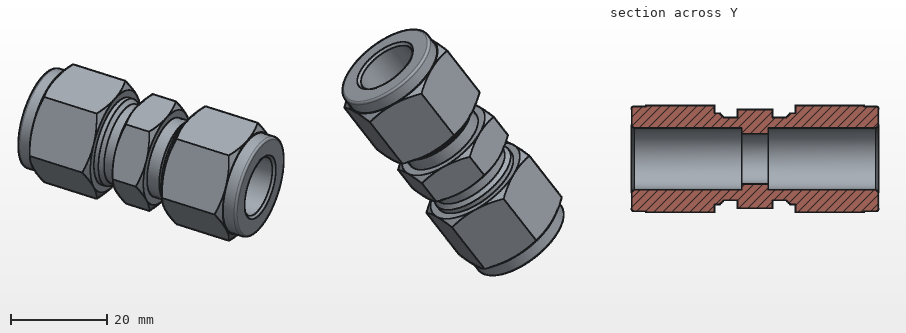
import cadquery as cq
import math

total_length = 51.41
half_length = total_length / 2

nut_across_flats = 22.22
nut_length = 14.3
nut_collar_length = 3.0
nut_collar_diameter = 21.83
nut_collar_edge_radius = 0.5

body_across_flats = 20.64
body_hex_length = 7.28
neck_diameter = 17.3
shoulder_diameter = 19.05
shoulder_length = 1.05
shoulder_taper_length = (shoulder_diameter - neck_diameter) / 2

bore_diameter = 10.4
socket_diameter = 12.8
socket_depth = 22.9
socket_mouth_diameter = 13.9
socket_mouth_chamfer = (socket_mouth_diameter - socket_diameter) / 2

hex_chamfer_angle = math.radians(30)

nut_outer_x = half_length - nut_collar_length
nut_inner_x = nut_outer_x - nut_length


def revolve_about_x(points):
    """Revolve a closed (x, radius) outline about the X axis."""
    return cq.Workplane("XY").polyline(points).close().revolve(360, (0, 0, 0), (1, 0, 0))


def cylinder(x_start, x_end, diameter):
    """Round bar along X."""
    return cq.Workplane("YZ", origin=(x_start, 0, 0)).circle(diameter / 2).extrude(x_end - x_start)


def chamfered_hexagon(x_start, x_end, across_flats):
    """Hexagonal bar along X, corners on +/-Y, with its corners turned off at both ends."""
    flat_radius = across_flats / 2
    corner_radius = flat_radius / math.cos(math.pi / 6)
    chamfer_length = (corner_radius - flat_radius) * math.tan(hex_chamfer_angle)
    hexagon = (
        cq.Workplane("YZ", origin=(x_start, 0, 0))
        .polygon(6, 2 * corner_radius)
        .extrude(x_end - x_start)
    )
    turned_envelope = revolve_about_x([
        (x_start, 0),
        (x_start, flat_radius),
        (x_start + chamfer_length, corner_radius),
        (x_end - chamfer_length, corner_radius),
        (x_end, flat_radius),
        (x_end, 0),
    ])
    return hexagon.intersect(turned_envelope)


def nut():
    """Nut on the +X end: hexagon plus a round collar with a rounded outer edge."""
    collar = cylinder(nut_inner_x, half_length, nut_collar_diameter)
    collar = collar.faces(">X").edges().fillet(nut_collar_edge_radius)
    return chamfered_hexagon(nut_inner_x, nut_outer_x, nut_across_flats).union(collar)


def shoulder():
    """Raised ring against the inner face of the +X nut, tapering down to the neck."""
    taper_end_x = nut_inner_x - shoulder_length
    taper_start_x = taper_end_x - shoulder_taper_length
    return revolve_about_x([
        (taper_start_x, 0),
        (taper_start_x, neck_diameter / 2),
        (taper_end_x, shoulder_diameter / 2),
        (nut_inner_x, shoulder_diameter / 2),
        (nut_inner_x, 0),
    ])


def tube_socket():
    """Cutter for the +X tube socket with its chamfered mouth."""
    bottom_x = half_length - socket_depth
    return revolve_about_x([
        (bottom_x, 0),
        (bottom_x, socket_diameter / 2),
        (half_length - socket_mouth_chamfer, socket_diameter / 2),
        (half_length, socket_mouth_diameter / 2),
        (half_length, 0),
    ])


def both_ends(feature):
    """The +X feature together with its mirror image on the -X end."""
    return feature.union(feature.mirror("YZ"))


neck = cylinder(-nut_inner_x, nut_inner_x, neck_diameter)
body_hex = chamfered_hexagon(-body_hex_length / 2, body_hex_length / 2, body_across_flats)
bore = cylinder(-half_length, half_length, bore_diameter)

result = neck.union(body_hex)
result = result.union(both_ends(shoulder())).union(both_ends(nut()))
result = result.cut(bore).cut(both_ends(tube_socket()))